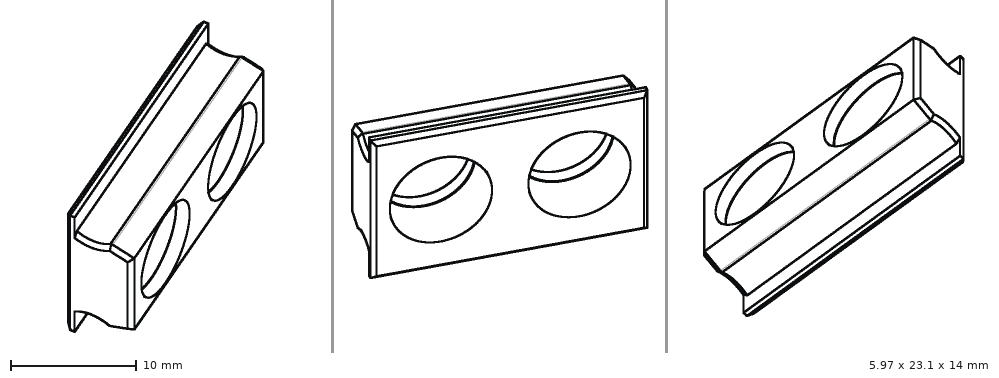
import cadquery as cq

length = 23.05
height = 14.0
depth = 5.97
flange_thickness = 0.8
bevel = 0.4

groove_root = 4.93
groove_floor = 4.5
crest_position = 3.9
sharp_crest = 5.02
flat_crest = 4.98
back_half_height = 4.35
groove_middle = 2.35

hole_spacing = 11.52
front_bore = 8.5
back_bore = 8.35
front_bore_depth = 4.73


def make_flange():
    plate = cq.Workplane("XY").box(flange_thickness, length, height, centered=(False, True, True))
    return plate.faces("<X").chamfer(bevel)


def make_block():
    profile = (
        cq.Workplane("XZ")
        .moveTo(flange_thickness, groove_root)
        .threePointArc((groove_middle, groove_floor), (crest_position, sharp_crest))
        .lineTo(depth, back_half_height)
        .lineTo(depth, -back_half_height)
        .lineTo(crest_position, -sharp_crest)
        .threePointArc((groove_middle, -groove_floor), (flange_thickness, -groove_root))
        .close()
    )
    block = profile.extrude(length / 2, both=True)
    block = block.faces("<Y or >Y").edges("not(<X)").chamfer(bevel)
    trim = cq.Workplane("XY").box(depth, length, 2 * flat_crest, centered=(False, True, True))
    return block.intersect(trim)


def make_bore(diameter, bore_depth):
    centres = [(-hole_spacing / 2, 0), (hole_spacing / 2, 0)]
    return cq.Workplane("YZ").pushPoints(centres).circle(diameter / 2).extrude(bore_depth)


result = (
    make_flange()
    .union(make_block())
    .cut(make_bore(front_bore, front_bore_depth))
    .cut(make_bore(back_bore, depth))
)